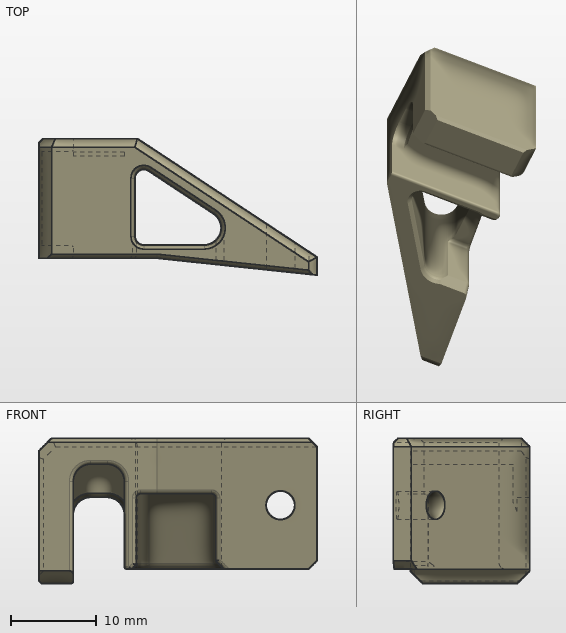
import cadquery as cq
import math

LENGTH = 32.5
HEIGHT = 17.0
DEPTH = 13.98
NOSE_REACH = 1.98
NOSE_START = 13.75
NOSE_WIDTH = 2.1
SLANT_START = 11.5
BODY_BOTTOM = 1.7
ARM_LENGTH = 4.03

SMALL_BREAK = 0.5
LARGE_BREAK = 1.0
ARM_BREAK = 1.5
FOOT_BREAK = 0.32

SLOT_WIDTH = 5.95
SLOT_TOP = 13.95
SLOT_CORNER = 1.98
BACK_SLOT_TOP = 10.08
BACK_WALL = 2.0

OPENING_LEFT = 11.25
OPENING_FRONT = 1.55
SLANT_WALL = 2.45
OPENING_CORNER = 1.0
OPENING_NOSE_CORNER = 1.98

WINDOW_LEFT = 11.38
WINDOW_RIGHT = 20.67
WINDOW_TOP = 10.5
WINDOW_DEPTH = 2.6
WINDOW_FLARE = 0.95

HOLE_DIAMETER = 3.3
HOLE_X = 28.2
HOLE_Z = 9.15

MARGIN = 3.25
NEAR = 0.015

SLOT_RIGHT = ARM_LENGTH + SLOT_WIDTH
SLOT_CENTER = ARM_LENGTH + SLOT_WIDTH / 2
BACK_WALL_FRONT = DEPTH - BACK_WALL
NOSE_TIP = -NOSE_REACH
NOSE_BACK = NOSE_TIP + NOSE_WIDTH
BACK_SLOPE = (NOSE_BACK - DEPTH) / (LENGTH - SLANT_START)
ARC_INSET = 1 - math.sqrt(0.5)


def along_y(outline, front, back):
    """Prism with an outline in X and Z that runs from y = front to y = back."""
    plane = cq.Workplane("XZ", origin=(0, front, 0))
    return plane.polyline(outline).close().extrude(front - back)


def edges_at(solid, points):
    """The edge of the solid that passes closest to each point."""
    edges = solid.Edges()
    return [min(edges, key=lambda edge: edge.distance(cq.Vertex.makeVertex(*point))) for point in points]


def chamfer_at(solid, size, points):
    return solid.chamfer(size, None, edges_at(solid, points))


def fillet_at(solid, radius, points):
    return solid.fillet(radius, edges_at(solid, points))


def front_y(x):
    """Depth position of the front face, which slants towards the nose."""
    return NOSE_TIP * max(0, x - NOSE_START) / (LENGTH - NOSE_START)


def make_body():
    plan = [
        (0, 0),
        (NOSE_START, 0),
        (LENGTH, NOSE_TIP),
        (LENGTH, NOSE_BACK),
        (SLANT_START, DEPTH),
        (0, DEPTH),
    ]
    profile = [
        (0, 0),
        (ARM_LENGTH, 0),
        (ARM_LENGTH, BODY_BOTTOM),
        (LENGTH - LARGE_BREAK, BODY_BOTTOM),
        (LENGTH, BODY_BOTTOM + LARGE_BREAK),
        (LENGTH, HEIGHT - LARGE_BREAK),
        (LENGTH - LARGE_BREAK, HEIGHT),
        (ARM_BREAK, HEIGHT),
        (0, HEIGHT - ARM_BREAK),
    ]
    block = cq.Workplane("XY").polyline(plan).close().extrude(HEIGHT)
    return block.intersect(along_y(profile, NOSE_TIP - MARGIN, DEPTH + MARGIN))


def break_outer_edges(body):
    foot_x = ARM_LENGTH / 2
    nose_x = (NOSE_START + LENGTH) / 2
    slant_middle = ((SLANT_START + LENGTH) / 2, (DEPTH + NOSE_BACK) / 2, HEIGHT)
    top_slope_end = (ARM_BREAK / 2, DEPTH, HEIGHT - ARM_BREAK / 2)

    solid = body.val()
    solid = chamfer_at(solid, SMALL_BREAK, [(0, DEPTH, HEIGHT / 2)])
    solid = chamfer_at(solid, LARGE_BREAK, [top_slope_end, (SLANT_START / 2, DEPTH, HEIGHT), slant_middle])
    solid = chamfer_at(solid, SMALL_BREAK, [(NOSE_START / 2, 0, HEIGHT), (nose_x, front_y(nose_x), HEIGHT)])
    solid = chamfer_at(solid, ARM_BREAK, [(foot_x, 0, 0), (foot_x, DEPTH, 0)])
    solid = chamfer_at(solid, FOOT_BREAK, [(0, DEPTH / 2, 0)])
    return cq.Workplane(solid)


def make_opening():
    """Triangular prism whose long side is parallel to the slanted back face."""
    wall_along_y = SLANT_WALL * math.hypot(1, BACK_SLOPE)
    left_y = DEPTH + BACK_SLOPE * (OPENING_LEFT - SLANT_START) - wall_along_y
    nose_x = OPENING_LEFT + (OPENING_FRONT - left_y) / BACK_SLOPE
    outline = [
        (OPENING_LEFT, OPENING_FRONT),
        (nose_x, OPENING_FRONT),
        (OPENING_LEFT, left_y),
    ]
    prism = cq.Workplane("XY").polyline(outline).close().extrude(HEIGHT)
    prism = prism.edges("|Z and >X").fillet(OPENING_NOSE_CORNER)
    return prism.edges("|Z and <X").fillet(OPENING_CORNER)


def make_window():
    outline = [
        (WINDOW_LEFT, 0),
        (WINDOW_RIGHT, 0),
        (WINDOW_RIGHT, WINDOW_TOP),
        (WINDOW_LEFT, WINDOW_TOP),
    ]
    return along_y(outline, NOSE_TIP, WINDOW_DEPTH).edges("|Y and >Z").fillet(SMALL_BREAK)


def cut_opening_and_window(body):
    solid = body.cut(make_opening()).val()
    solid = chamfer_at(solid, SMALL_BREAK, [(OPENING_LEFT, DEPTH / 2, HEIGHT)])
    return cq.Workplane(solid).cut(make_window())


def chamfer_opening_foot(body):
    """Bevel the underside edges of the opening and the window, wider at the window's right wall."""
    underside_zone = cq.selectors.BoxSelector(
        (OPENING_LEFT - NEAR, NOSE_TIP, BODY_BOTTOM - NEAR),
        (WINDOW_RIGHT + OPENING_CORNER, DEPTH - OPENING_CORNER, BODY_BOTTOM + NEAR),
        boundingbox=True,
    )
    right_foot = (WINDOW_RIGHT, OPENING_FRONT / 2, BODY_BOTTOM)
    right_edge = edges_at(body.val(), [right_foot])[0]
    other_edges = [edge for edge in body.edges(underside_zone).vals() if not edge.isSame(right_edge)]
    solid = body.val().chamfer(SMALL_BREAK, None, other_edges)
    return cq.Workplane(chamfer_at(solid, WINDOW_FLARE, [right_foot]))


def round_window_edges(body):
    """Round the window's front edge and the edge between the slanted wall and its bevel."""
    corner_inset = SMALL_BREAK * ARC_INSET
    front_points = []
    for side, inward, flare in ((WINDOW_LEFT, 1, SMALL_BREAK), (WINDOW_RIGHT, -1, WINDOW_FLARE)):
        front_points += [
            (side, WINDOW_TOP / 2),
            (side + inward * corner_inset, WINDOW_TOP - corner_inset),
            (side - inward * flare / 2, BODY_BOTTOM + flare / 2),
        ]
    front_points.append(((WINDOW_LEFT + NOSE_START) / 2, WINDOW_TOP))
    front_points.append(((WINDOW_RIGHT + NOSE_START) / 2, WINDOW_TOP))

    solid = fillet_at(body.val(), SMALL_BREAK, [(x, front_y(x), z) for x, z in front_points])
    bevel_top = (OPENING_LEFT, DEPTH / 2, BODY_BOTTOM + SMALL_BREAK)
    return cq.Workplane(fillet_at(solid, SMALL_BREAK, [bevel_top]))


def arch(width, top, corner, front, back):
    """Slot body with rounded upper corners that reaches down past the underside."""
    base = cq.Workplane("XY", origin=(SLOT_CENTER, (front + back) / 2, -MARGIN))
    box = base.box(width, back - front, top + MARGIN, centered=(True, True, False))
    return box.edges("|Y and >Z").fillet(corner)


def make_back_wall():
    """Wall that closes the upper part of the slot, with a bevel at its lower front edge."""
    wall = arch(SLOT_WIDTH, SLOT_TOP, SLOT_CORNER, BACK_WALL_FRONT, DEPTH)
    passage = arch(SLOT_WIDTH, BACK_SLOT_TOP, SLOT_CORNER, 0, DEPTH + MARGIN)
    bevel = arch(
        SLOT_WIDTH + 2 * SMALL_BREAK,
        BACK_SLOT_TOP + SMALL_BREAK,
        SLOT_CORNER + SMALL_BREAK,
        0,
        BACK_WALL_FRONT + SMALL_BREAK,
    )
    bevel = bevel.faces(">Y").chamfer(SMALL_BREAK)
    return wall.cut(passage).cut(bevel)


def make_slot():
    """Space of the slot, flared at its front edge and along the foot of the rib."""
    slot = arch(SLOT_WIDTH, SLOT_TOP, SLOT_CORNER, -MARGIN, DEPTH + MARGIN)
    envelope_outline = [
        (0, -MARGIN),
        (SLOT_CENTER, -MARGIN),
        (SLOT_CENTER, BODY_BOTTOM),
        (WINDOW_LEFT, BODY_BOTTOM),
        (WINDOW_LEFT, HEIGHT),
        (0, HEIGHT),
    ]
    envelope = along_y(envelope_outline, 0, DEPTH)

    corner_inset = SLOT_CORNER * ARC_INSET
    corner_z = SLOT_TOP - corner_inset
    mouth_points = [
        (ARM_LENGTH, 0, BODY_BOTTOM),
        (ARM_LENGTH + corner_inset, 0, corner_z),
        (SLOT_CENTER, 0, SLOT_TOP),
        (SLOT_RIGHT - corner_inset, 0, corner_z),
        (SLOT_RIGHT, 0, SLOT_TOP / 2),
    ]
    surround = envelope.cut(slot).val()
    surround = fillet_at(surround, SMALL_BREAK, mouth_points)
    surround = fillet_at(surround, FOOT_BREAK, [(SLOT_RIGHT, DEPTH / 2, BODY_BOTTOM)])
    return envelope.cut(cq.Workplane(surround)).cut(make_back_wall())


def cut_slot(body):
    solid = body.cut(make_slot()).val()
    return cq.Workplane(fillet_at(solid, FOOT_BREAK, [(ARM_LENGTH, DEPTH / 2, 0)]))


def cut_hole(body):
    start = cq.Workplane("XZ", origin=(HOLE_X, NOSE_TIP, HOLE_Z))
    return body.cut(start.circle(HOLE_DIAMETER / 2).extrude(-(DEPTH + NOSE_REACH)))


body = break_outer_edges(make_body())
body = cut_opening_and_window(body)
body = chamfer_opening_foot(body)
body = round_window_edges(body)
body = cut_slot(body)
body = cut_hole(body)
result = cq.Workplane(body.solids().val())